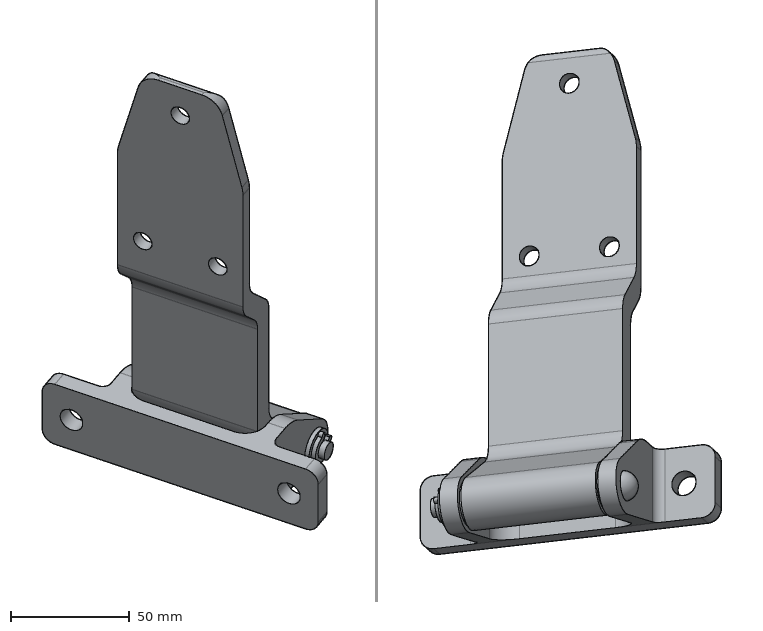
import cadquery as cq
import math


pin_radius = 4.0
pin_y = 46.0
pin_z = 12.0

plate_width = 132.0
plate_thickness = 7.8
plate_bottom = 7.8
plate_top = 40.3
plate_corner_radius = 6.0
lug_thickness = 8.0
lug_outer_x = 39.5
lug_inner_x = lug_outer_x - lug_thickness
lug_radius = 12.0
lug_shoulder_y = 26.0
lug_shoulder_radius = 20.0
lug_root_radius = 4.0
pocket_corner_radius = 9.9
mounting_hole_diameter = 10.8
mounting_hole_x = 52.0

strap_width = 60.0
strap_top = 224.0
tip_thickness = 5.8
strap_thickness = 10.0
strap_front_y = 13.0
strap_back_y = strap_front_y + strap_thickness
crank_start_z = 112.5
bend_radius = 10.0
tip_edge_radius = 4.0
barrel_radius = 11.5
arm_back_z = 39.5
arm_front_z = 34.3
arm_front_radius = 15.7
tip_width = 36.3
tip_corner_radius = 10.0
taper_start_z = 179.2
taper_radius = 15.7
strap_hole_diameter = 8.7
upper_hole_z = 208.8
lower_hole_z = 134.0
lower_hole_x = 18.0

head_radius = 6.5
head_height = 5.4
pin_end_x = 46.4
groove_radius = 3.4
spacer_radius = 9.6
washer_radius = 8.5
washer_thickness = 2.0
clip_radius = 6.5
clip_thickness = 2.0
clip_ear_radius = 1.3
clip_ear_far = 6.7
clip_ear_near = 1.0
washer_end_x = lug_outer_x + washer_thickness
clip_end_x = washer_end_x + clip_thickness


def rounded_outline(plane, corners):
    """Closed outline through (u, v, radius) corners, each rounded by its radius (0 keeps it sharp)."""
    outline = cq.Workplane(plane)
    for i, (u, v, radius) in enumerate(corners):
        corner = cq.Vector(u, v)
        before = cq.Vector(*corners[i - 1][:2]) - corner
        after = cq.Vector(*corners[(i + 1) % len(corners)][:2]) - corner
        half_angle = before.getAngle(after) / 2
        setback = radius / math.tan(half_angle)
        bulge = radius / math.sin(half_angle) - radius
        start = corner + before.normalized() * setback
        end = corner + after.normalized() * setback
        middle = corner + (before.normalized() + after.normalized()).normalized() * bulge
        if i == 0:
            outline = outline.moveTo(start.x, start.y)
        else:
            outline = outline.lineTo(start.x, start.y)
        if radius > 0:
            outline = outline.threePointArc((middle.x, middle.y), (end.x, end.y))
    return outline.close()


def tangent_corner(y, z, radius, turn):
    """Sharp corner where a line from (y, z) touches a circle on the pin axis; turn picks the side."""
    to_point = math.atan2(z - pin_z, y - pin_y)
    swing = math.acos(radius / math.hypot(y - pin_y, z - pin_z))
    angle = to_point + turn * swing
    return (pin_y + radius * math.cos(angle), pin_z + radius * math.sin(angle), 0)


def pin_axis_disc(radius, start_x, end_x):
    """Cylinder on the pin axis from start_x to end_x."""
    return (
        cq.Workplane("YZ", origin=(start_x, pin_y, pin_z))
        .circle(radius)
        .extrude(end_x - start_x)
    )


def extrude_across(outline, width):
    """Extrude an outline to both sides of its plane, to a full width."""
    return outline.extrude(width / 2, both=True)


def holes_along_y(centres, diameter):
    """Cutting cylinders at (x, z) centres, running back from the mounting face."""
    return (
        cq.Workplane("XZ")
        .pushPoints(centres)
        .circle(diameter / 2)
        .extrude(-strap_back_y)
    )


def make_bracket():
    half_width = plate_width / 2
    lug_end_y = pin_y + lug_radius

    plan = rounded_outline("XY", [
        (-half_width, 0, 0),
        (half_width, 0, 0),
        (half_width, plate_thickness, 0),
        (lug_outer_x, plate_thickness, lug_root_radius),
        (lug_outer_x, lug_end_y, 0),
        (lug_inner_x, lug_end_y, 0),
        (lug_inner_x, plate_thickness, pocket_corner_radius),
        (-lug_inner_x, plate_thickness, pocket_corner_radius),
        (-lug_inner_x, lug_end_y, 0),
        (-lug_outer_x, lug_end_y, 0),
        (-lug_outer_x, plate_thickness, lug_root_radius),
        (-half_width, plate_thickness, 0),
    ]).extrude(plate_top)

    side = extrude_across(rounded_outline("YZ", [
        (0, plate_bottom, 0),
        (0, plate_top, 0),
        (lug_shoulder_y, plate_top, lug_shoulder_radius),
        tangent_corner(lug_shoulder_y, plate_top, lug_radius, -1),
        tangent_corner(plate_thickness, plate_bottom, lug_radius, 1),
        (plate_thickness, plate_bottom, 0),
    ]), plate_width)
    side = side.union(pin_axis_disc(lug_radius, -half_width, half_width))

    bracket = plan.intersect(side)
    bracket = bracket.edges("|Y").edges("<X or >X").fillet(plate_corner_radius)
    hole_z = (plate_bottom + plate_top) / 2
    bracket = bracket.cut(holes_along_y(
        [(-mounting_hole_x, hole_z), (mounting_hole_x, hole_z)], mounting_hole_diameter
    ))
    return bracket.cut(pin_axis_disc(pin_radius, -lug_outer_x, lug_outer_x))


def make_strap():
    half_width = strap_width / 2
    crank_back_offset = crank_start_z + strap_thickness * math.sqrt(2)

    side = extrude_across(rounded_outline("YZ", [
        (0, strap_top, 0),
        (tip_thickness, strap_top, tip_edge_radius),
        (tip_thickness, crank_back_offset - tip_thickness, bend_radius),
        (strap_back_y, crank_back_offset - strap_back_y, bend_radius),
        (strap_back_y, arm_back_z, bend_radius),
        tangent_corner(strap_back_y, arm_back_z, barrel_radius, -1),
        tangent_corner(strap_front_y, arm_front_z, barrel_radius, 1),
        (strap_front_y, arm_front_z, arm_front_radius),
        (strap_front_y, crank_start_z - strap_front_y, bend_radius),
        (0, crank_start_z, bend_radius),
    ]), strap_width)
    side = side.union(pin_axis_disc(barrel_radius, -half_width, half_width))

    front = rounded_outline("XZ", [
        (-half_width, 0, 0),
        (half_width, 0, 0),
        (half_width, taper_start_z, taper_radius),
        (tip_width / 2, strap_top, tip_corner_radius),
        (-tip_width / 2, strap_top, tip_corner_radius),
        (-half_width, taper_start_z, taper_radius),
    ]).extrude(-(pin_y + barrel_radius))

    strap = side.intersect(front)
    strap = strap.cut(holes_along_y(
        [(0, upper_hole_z), (-lower_hole_x, lower_hole_z), (lower_hole_x, lower_hole_z)],
        strap_hole_diameter,
    ))
    return strap.cut(pin_axis_disc(pin_radius, -half_width, half_width))


def make_pin():
    dome_radius = (head_radius**2 + head_height**2) / (2 * head_height)
    head_end_x = -lug_outer_x - head_height
    dome_centre_x = head_end_x + dome_radius
    half_angle = math.asin(head_radius / dome_radius) / 2
    dome_middle = (dome_centre_x - dome_radius * math.cos(half_angle), dome_radius * math.sin(half_angle))
    return (
        cq.Workplane("XY", origin=(0, pin_y, pin_z))
        .moveTo(head_end_x, 0)
        .threePointArc(dome_middle, (-lug_outer_x, head_radius))
        .lineTo(-lug_outer_x, pin_radius)
        .lineTo(washer_end_x, pin_radius)
        .lineTo(washer_end_x, groove_radius)
        .lineTo(clip_end_x, groove_radius)
        .lineTo(clip_end_x, pin_radius)
        .lineTo(pin_end_x, pin_radius)
        .lineTo(pin_end_x, 0)
        .close()
        .revolve(360, (0, 0, 0), (1, 0, 0))
    )


def make_ring(outer_radius, start_x, end_x):
    """Flat ring that fits round the pin shank."""
    ring = pin_axis_disc(outer_radius, start_x, end_x)
    return ring.cut(pin_axis_disc(pin_radius, start_x, end_x))


def make_circlip():
    ear_spacing = math.sqrt(2) * (clip_ear_far - clip_ear_near)
    opening_width = ear_spacing - 2 * clip_ear_radius
    centre = (washer_end_x, pin_y, pin_z)
    opening = (
        cq.Workplane("YZ", origin=centre)
        .transformed(rotate=(0, 0, 45))
        .center(clip_radius, 0)
        .rect(2 * clip_radius, opening_width)
        .extrude(clip_thickness)
    )
    ears = (
        cq.Workplane("YZ", origin=centre)
        .pushPoints([(clip_ear_far, clip_ear_near), (clip_ear_near, clip_ear_far)])
        .circle(clip_ear_radius)
        .extrude(clip_thickness)
    )
    circlip = pin_axis_disc(clip_radius, washer_end_x, clip_end_x).cut(opening).union(ears)
    return circlip.cut(pin_axis_disc(groove_radius, washer_end_x, clip_end_x))


bracket = make_bracket()
strap = make_strap()
pin = make_pin()
spacers = []
for gap_start_x in (-lug_inner_x, strap_width / 2):
    gap_end_x = gap_start_x + lug_inner_x - strap_width / 2
    spacers.append(make_ring(spacer_radius, gap_start_x, gap_end_x))
washer = make_ring(washer_radius, lug_outer_x, washer_end_x)
circlip = make_circlip()

result = cq.Compound.makeCompound([
    bracket.val(),
    strap.val(),
    pin.val(),
    *[spacer.val() for spacer in spacers],
    washer.val(),
    circlip.val(),
])